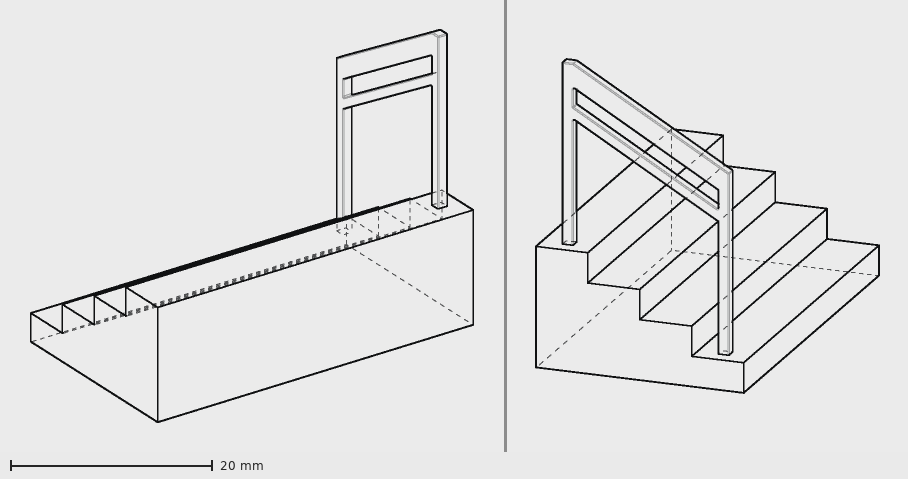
import cadquery as cq
import math

step_count = 4
stair_depth = 22.0
stair_width = 38.1
stair_height = 12.7
tread = stair_depth / step_count
rise = stair_height / step_count

post_size = 1.15
post_height = 19.05
side_margin = 1.6
slope_angle = math.atan2(rise, tread)
handrail_thickness = 2.2
rail_gap = 1.75
lower_rail_thickness = 1.1
edge_radius = 0.11
flat_tolerance = 0.005

lower_post_x = (tread - post_size) / 2
upper_post_x = lower_post_x + (step_count - 1) * tread
railing_y = stair_width - side_margin - post_size


def extrude_profile(points, y_start, width):
    """Extrude an XZ outline toward +Y, starting at y_start."""
    return (
        cq.Workplane("XZ", origin=(0, y_start, 0))
        .polyline(points)
        .close()
        .extrude(-width)
    )


def make_stairs():
    points = [(0, 0)]
    for step in range(step_count):
        step_top = (step + 1) * rise
        points.append((step * tread, step_top))
        points.append(((step + 1) * tread, step_top))
    points.append((stair_depth, 0))
    return extrude_profile(points, 0, stair_width)


def make_post(x, base_z):
    return cq.Workplane("XY").box(post_size, post_size, post_height, centered=False).translate(
        (x, railing_y, base_z)
    )


def make_rail(drop, thickness):
    """Sloped rail whose top lies 'drop' below the line of the post tops, both square to the slope."""
    top_z = rise + post_height - drop / math.cos(slope_angle)
    bottom_z = top_z - thickness / math.cos(slope_angle)
    climb = (step_count - 1) * rise
    points = [
        (lower_post_x, bottom_z),
        (lower_post_x, top_z),
        (upper_post_x, top_z + climb),
        (upper_post_x, bottom_z + climb),
    ]
    return extrude_profile(points, railing_y, post_size)


def is_above_tread(edge):
    """True unless the edge lies flat on the tread that carries a post."""
    tops = (rise, stair_height)
    return all(abs(edge.BoundingBox().zmax - top) > flat_tolerance for top in tops)


def make_railing():
    lower_post = make_post(lower_post_x, rise)
    upper_post = make_post(upper_post_x, stair_height)
    handrail = make_rail(0, handrail_thickness)
    lower_rail = make_rail(handrail_thickness + rail_gap, lower_rail_thickness)
    railing = lower_post.union(upper_post).union(handrail).union(lower_rail).clean()
    rounded_edges = railing.edges().filter(is_above_tread)
    return rounded_edges.fillet(edge_radius)


stairs = make_stairs()
railing = make_railing()

result = cq.Compound.makeCompound([stairs.val(), railing.val()])